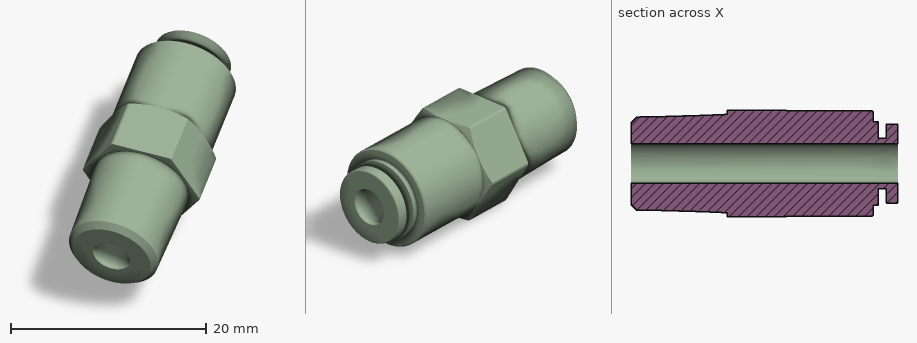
import cadquery as cq
import math

total_length = 27.42
thread_length = 9.87
hex_length = 6.03
body_length = 8.97
collar_length = 0.55
neck_length = 0.75

thread_tip_radius = 4.8
thread_root_radius = 5.07
body_radius = 5.43
collar_radius = 4.3
neck_radius = 2.6
cap_radius = 4.09
bore_radius = 2.0

across_flats = 11.0
across_corners = 12.55
hex_chamfer_angle = 30.0

thread_chamfer = 0.6
body_chamfer = 0.15
cap_rounding = 0.16

hex_start = thread_length
hex_end = hex_start + hex_length
body_end = hex_end + body_length
collar_end = body_end + collar_length
neck_end = collar_end + neck_length


def revolve_about_y(points):
    """Revolve a closed (radius, y) outline about the Y axis."""
    return cq.Workplane("XY").polyline(points).close().revolve(360, (0, 0, 0), (0, 1, 0))


def make_turned_body():
    """Tapered thread, round body, collar and neck."""
    return revolve_about_y([
        (0, 0),
        (thread_tip_radius - thread_chamfer, 0),
        (thread_tip_radius, thread_chamfer),
        (thread_root_radius, hex_start),
        (body_radius, hex_start),
        (body_radius, body_end - body_chamfer),
        (body_radius - body_chamfer, body_end),
        (collar_radius, body_end),
        (collar_radius, collar_end),
        (neck_radius, collar_end),
        (neck_radius, total_length),
        (0, total_length),
    ])


def make_cap():
    """Release cap with both outer rims rounded."""
    return (
        cq.Workplane("XZ", origin=(0, neck_end, 0))
        .circle(cap_radius)
        .extrude(neck_end - total_length)
        .edges("%CIRCLE")
        .fillet(cap_rounding)
    )


def make_hexagon():
    """Hexagon with turned corners and a conical chamfer on its body side."""
    sharp_diameter = across_flats / math.cos(math.radians(30))
    prism = (
        cq.Workplane("XZ", origin=(0, hex_start, 0))
        .polygon(6, sharp_diameter)
        .extrude(-hex_length)
    )
    flat_radius = across_flats / 2
    corner_radius = across_corners / 2
    chamfer_depth = (corner_radius - flat_radius) * math.tan(math.radians(hex_chamfer_angle))
    envelope = revolve_about_y([
        (0, hex_start),
        (corner_radius, hex_start),
        (corner_radius, hex_end - chamfer_depth),
        (flat_radius, hex_end),
        (0, hex_end),
    ])
    return prism.intersect(envelope)


def make_bore():
    """Straight bore through the whole fitting."""
    return cq.Workplane("XZ").circle(bore_radius).extrude(-total_length)


result = make_turned_body().union(make_cap()).union(make_hexagon()).cut(make_bore())